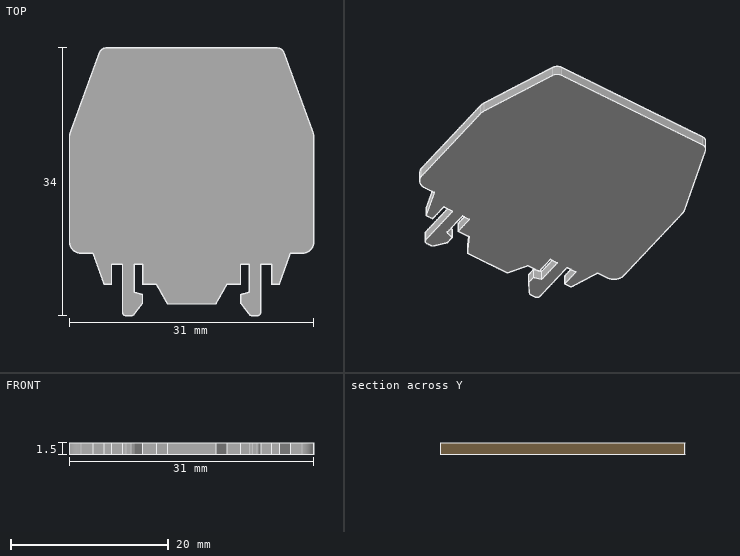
import cadquery as cq

width = 31.0
length = 34.0
thickness = 1.5
half_width = width / 2

taper_start_y = 23.0
top_half_width = 11.5
shoulder_y = 7.92
top_radius = 1.0
taper_radius = 2.0
shoulder_radius = 1.5

foot_root_x = 12.5
foot_tip_x = 11.12
foot_inner_x = 10.13
foot_y = 4.0
tongue_root_x = 4.5
tongue_tip_x = 3.05
tongue_y = 1.5

slot_end_y = 6.53
leg_outer_x = 8.77
leg_inner_x = 7.28
hook_x = 6.22
hook_root_y = 3.03
hook_top_y = 2.72
hook_bottom_y = 1.6
leg_tip_x = 7.45
leg_tip_radius = 0.48

right_side = [
    (top_half_width, length),
    (half_width, taper_start_y),
    (half_width, shoulder_y),
    (foot_root_x, shoulder_y),
    (foot_tip_x, foot_y),
    (foot_inner_x, foot_y),
    (foot_inner_x, slot_end_y),
    (leg_outer_x, slot_end_y),
    (leg_outer_x, 0),
    (leg_tip_x, 0),
    (hook_x, hook_bottom_y),
    (hook_x, hook_top_y),
    (leg_inner_x, hook_root_y),
    (leg_inner_x, slot_end_y),
    (hook_x, slot_end_y),
    (hook_x, foot_y),
    (tongue_root_x, foot_y),
    (tongue_tip_x, tongue_y),
]
left_side = [(-x, y) for x, y in reversed(right_side)]
plate = cq.Workplane("XY").polyline(right_side + left_side).close().extrude(thickness)


def round_corner_pair(body, x, y, radius):
    """Round the upright edges at (x, y) and its mirror image (-x, y)."""
    for side in (-1, 1):
        nearest = cq.selectors.NearestToPointSelector((side * x, y, thickness / 2))
        body = body.edges("|Z").edges(nearest).fillet(radius)
    return body


rounded_corners = [
    (top_half_width, length, top_radius),
    (half_width, taper_start_y, taper_radius),
    (half_width, shoulder_y, shoulder_radius),
    (leg_outer_x, 0, leg_tip_radius),
    (leg_tip_x, 0, leg_tip_radius),
]
for corner_x, corner_y, corner_radius in rounded_corners:
    plate = round_corner_pair(plate, corner_x, corner_y, corner_radius)

result = plate